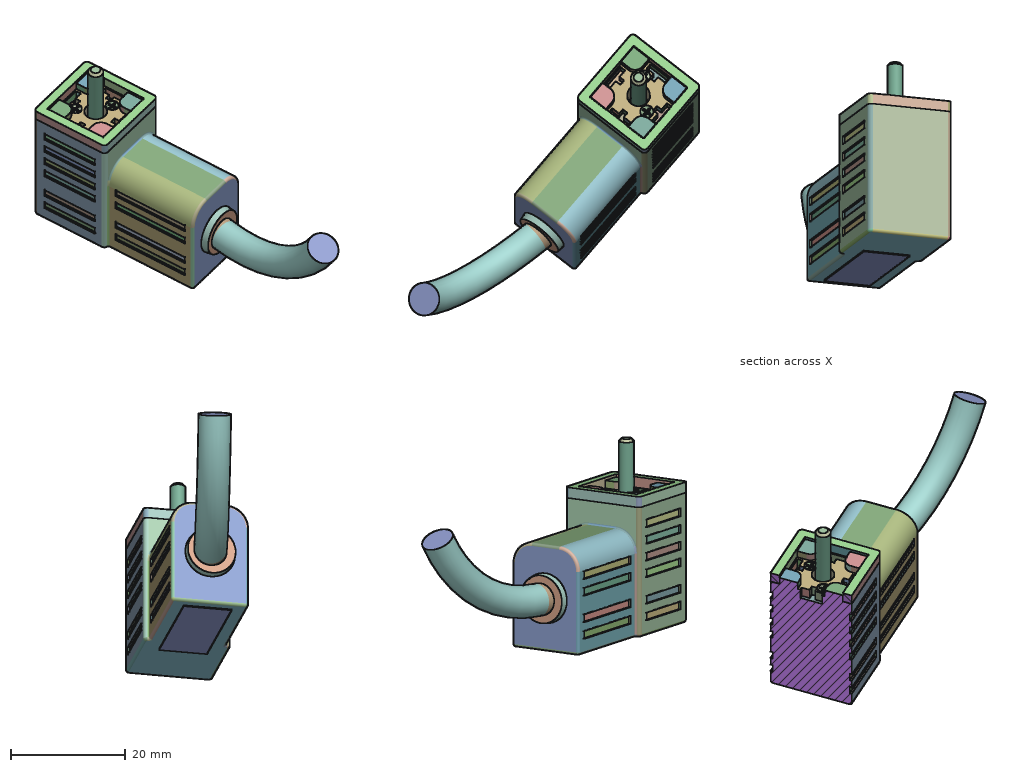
import cadquery as cq
import math

head_width = 15.5
head_corner_radius = 0.75
housing_bottom = 0.2
housing_top = 23.45
block_end = 26.2
block_width = 13.8
block_top = 19.2
block_shoulder_radius = 4.05
outer_edge_radius = 0.5
junction_radius = 0.3
selection_margin = 0.05

label_start = 4.2
label_end = 24.2
label_width = 8.6

slot_height = 1.4
slot_depth = 0.4
slot_pitch = 3.0
upper_slot_top_row = 20.2
upper_slot_rows = 4
lower_slot_top_row = 6.5
lower_slot_rows = 2
head_slot_length = 11.0
block_slot_start = 9.3
block_slot_end = 24.4
block_slot_upper_rows = 2

opening_width = 12.1
post_top = 24.85
post_face = 2.55
post_radius = 1.7
contact_bar_length = 4.1
contact_bar_outer = 5.75
contact_bar_inner = 4.75
contact_stem_inner = 3.75
contact_stem_width = 1.0
contact_depth = 1.9
terminal_places = [(1.4, 3.0), (-3.3, -1.5)]
terminal_diameter = 2.3
terminal_recess_depth = 0.2
cross_length = 1.5
cross_width = 0.3
cross_depth = 0.65

gasket_top = 25.35

screw_diameter = 2.7
screw_clearance_diameter = 4.0
screw_clearance_depth = 6.35
screw_top = 33.6
screw_chamfer = 0.5
screw_bottom = housing_top - screw_clearance_depth

cable_diameter = 5.75
cable_height = 9.7
cable_straight_length = 2.1
cable_bend_radius = 29.1
cable_bend_angle = 60.5
cable_turn_angle = -10.8
collar_base_diameter = 8.95
collar_end_diameter = 8.55
collar_length = 1.3


def box_between(x_range, y_range, z_range):
    """Box spanning the given (low, high) ranges."""
    size = [high - low for low, high in (x_range, y_range, z_range)]
    low_corner = (x_range[0], y_range[0], z_range[0])
    return cq.Workplane("XY").box(*size, centered=False).translate(low_corner)


def make_shell():
    """Upright head joined to the lower block, with a fillet where they meet."""
    half_head = head_width / 2
    half_block = block_width / 2
    head = box_between((-half_head, half_head), (-half_head, half_head), (housing_bottom, housing_top))
    head = head.edges("|Z").fillet(head_corner_radius)
    block = box_between((0, block_end), (-half_block, half_block), (housing_bottom, block_top))
    block = block.edges("|X and >Z").fillet(block_shoulder_radius)
    shell = head.union(block)
    junction = shell.edges(
        cq.selectors.BoxSelector(
            (half_head - selection_margin, -half_head, housing_bottom + selection_margin),
            (half_head + selection_margin, half_head, block_top + selection_margin),
        )
    )
    shell = junction.fillet(junction_radius)
    shell = shell.faces("<Z or >X").edges().fillet(outer_edge_radius)
    return shell


def make_label_pad():
    """Thin rectangular pad under the housing."""
    half_label = label_width / 2
    return box_between((label_start, label_end), (-half_label, half_label), (0, housing_bottom))


def make_collar():
    """Slightly tapered boss around the cable outlet."""
    return (
        cq.Workplane("YZ", origin=(block_end, 0, cable_height))
        .circle(collar_base_diameter / 2)
        .workplane(offset=collar_length)
        .circle(collar_end_diameter / 2)
        .loft()
    )


def slot_row_heights(top_row, rows):
    """Centre heights of evenly spaced rows, from the top row down."""
    return [top_row - row * slot_pitch for row in range(rows)]


def make_flank_slots(x_range, flank, heights):
    """Grip slots cut into both flanks, which lie at y = -flank and y = flank."""
    slots = cq.Workplane("XY")
    for height in heights:
        z_range = (height - slot_height / 2, height + slot_height / 2)
        for y_range in ((-flank, slot_depth - flank), (flank - slot_depth, flank)):
            slots = slots.add(box_between(x_range, y_range, z_range))
    return slots


def make_corner_posts():
    """Four posts that fill the corners of the gasket opening."""
    post_width = opening_width / 2 - post_face
    post_centre = post_face + post_width / 2
    posts = cq.Workplane("XY")
    for quarter in range(4):
        post = (
            cq.Workplane("XY", origin=(post_centre, post_centre, housing_top))
            .rect(post_width, post_width)
            .extrude(post_top - housing_top)
            .edges("|Z and <X and <Y")
            .fillet(post_radius)
            .rotate((0, 0, 0), (0, 0, 1), 90 * quarter)
        )
        posts = posts.add(post)
    return posts


def make_contact_slots():
    """Four T-shaped contact slots around the screw."""
    z_range = (housing_top - contact_depth, housing_top)
    half_bar = contact_bar_length / 2
    half_stem = contact_stem_width / 2
    bar = box_between((contact_bar_inner, contact_bar_outer), (-half_bar, half_bar), z_range)
    stem = box_between((contact_stem_inner, contact_bar_inner), (-half_stem, half_stem), z_range)
    contact = bar.union(stem)
    contacts = cq.Workplane("XY")
    for quarter in range(4):
        contacts = contacts.add(contact.rotate((0, 0, 0), (0, 0, 1), 90 * quarter))
    return contacts


def cut_terminal_recesses(housing):
    """Round recesses with a cross-shaped driver recess in the floor of each."""
    cross_height = terminal_recess_depth + cross_depth
    disc = cq.Workplane("XY").circle(terminal_diameter / 2).extrude(-terminal_recess_depth)
    cross = (
        cq.Workplane("XY")
        .rect(cross_length, cross_width)
        .extrude(-cross_height)
        .union(cq.Workplane("XY").rect(cross_width, cross_length).extrude(-cross_height))
    )
    recess = disc.union(cross)
    for x, y in terminal_places:
        housing = housing.cut(recess.translate((x, y, housing_top)))
    return housing


def make_housing(cable):
    """Housing with its grip slots, contact face, screw hole and cable socket."""
    housing = make_shell().union(make_label_pad()).union(make_collar())
    for post in make_corner_posts().vals():
        housing = housing.union(cq.Workplane(post))

    upper_heights = slot_row_heights(upper_slot_top_row, upper_slot_rows)
    lower_heights = slot_row_heights(lower_slot_top_row, lower_slot_rows)
    head_range = (-head_slot_length / 2, head_slot_length / 2)
    block_range = (block_slot_start, block_slot_end)
    block_heights = upper_heights[-block_slot_upper_rows:] + lower_heights
    cutters = (
        make_flank_slots(head_range, head_width / 2, upper_heights + lower_heights).vals()
        + make_flank_slots(block_range, block_width / 2, block_heights).vals()
        + make_contact_slots().vals()
    )
    for cutter in cutters:
        housing = housing.cut(cq.Workplane(cutter))

    housing = cut_terminal_recesses(housing)
    clearance = (
        cq.Workplane("XY", origin=(0, 0, screw_bottom))
        .circle(screw_clearance_diameter / 2)
        .extrude(screw_clearance_depth)
    )
    return housing.cut(clearance).cut(cable)


def make_gasket():
    """Square frame lying on the head, around the corner posts."""
    height = gasket_top - housing_top
    base = cq.Workplane("XY", origin=(0, 0, housing_top))
    frame = base.rect(head_width, head_width).extrude(height).edges("|Z").fillet(head_corner_radius)
    return frame.cut(base.rect(opening_width, opening_width).extrude(height))


def make_screw():
    """Screw shank standing on the floor of its clearance hole."""
    shank = (
        cq.Workplane("XY", origin=(0, 0, screw_bottom))
        .circle(screw_diameter / 2)
        .extrude(screw_top - screw_bottom)
    )
    return shank.faces(">Z").chamfer(screw_chamfer)


def make_cable():
    """Cable with a straight end through the collar, then an upward bend in a vertical plane."""
    def bend_point(angle):
        turn = math.radians(angle)
        along = cable_straight_length + cable_bend_radius * math.sin(turn)
        rise = cable_bend_radius * (1 - math.cos(turn))
        return (along, rise)

    path = (
        cq.Workplane("XZ")
        .lineTo(cable_straight_length, 0)
        .threePointArc(bend_point(cable_bend_angle / 2), bend_point(cable_bend_angle))
    )
    cable = cq.Workplane("YZ").circle(cable_diameter / 2).sweep(path)
    cable = cable.rotate((0, 0, 0), (0, 0, 1), cable_turn_angle)
    return cable.translate((block_end, 0, cable_height))


cable = make_cable()
housing = make_housing(cable)
gasket = make_gasket()
screw = make_screw()

bodies = [housing, gasket, screw, cable]
result = cq.Compound.makeCompound([body.solids().val() for body in bodies])